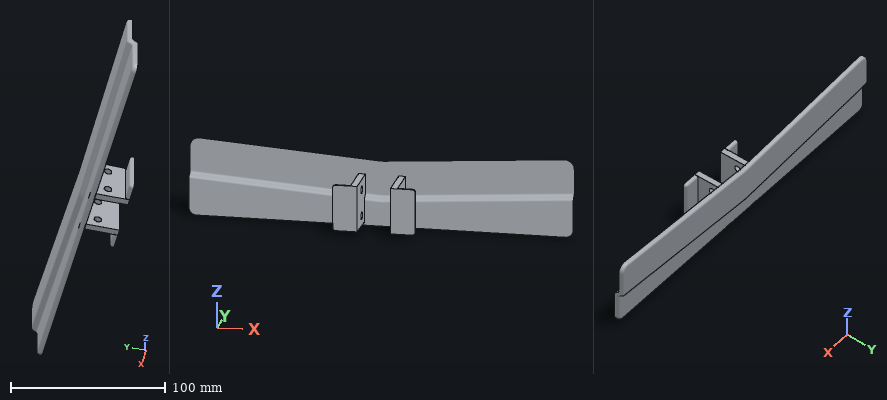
import cadquery as cq
import math

plate_length = 254.0
plate_height = 51.49
plate_thickness = 3.5
plate_offset = 3.5
vee_angle = 4.0
vee_radius = 27.0
top_corner_radius = 6.0
bottom_corner_radius = 5.0
edge_round = 2.0

step_angle = 60.0
bend_radius = 2.0
step_middle_z = 18.0
strip_half_height = 9.0
strip_overlap = 2.0

bracket_depth = 30.0
bracket_middle_z = 17.85
bracket_tip_height = 30.9
web_draft = 1.0
web_spacing = 22.0
web_thickness = 4.5
flange_width = 16.3
flange_thickness = 3.0
hole_diameter = 4.8
hole_spacing = 17.5
hole_distance = 15.3

half_length = plate_length / 2
vee_slope = math.tan(math.radians(vee_angle))
vee_tangent_x = vee_radius * math.sin(math.radians(vee_angle))
vee_tangent_z = vee_tangent_x * vee_slope
vee_lowest_z = vee_tangent_z - vee_radius * (1 - math.cos(math.radians(vee_angle)))
crown_x = half_length - top_corner_radius
crown_center_z = plate_height - top_corner_radius
sharp_crown_z = crown_center_z + top_corner_radius / math.cos(math.radians(vee_angle))
top_edge_z = sharp_crown_z - crown_x * vee_slope

upper_front_y = -plate_thickness
lower_back_y = -plate_offset
lower_front_y = lower_back_y - plate_thickness
step_rise = plate_offset / math.tan(math.radians(step_angle))
back_drop = plate_thickness * math.tan(math.radians(step_angle / 2))
overrun = 5.0
reach = half_length + overrun
tolerance = 1e-3


def draw_vee(workplane, height):
    """Draw the rounded vee from left to right, past both ends of the plate."""
    end_z = height + reach * vee_slope
    tangent_z = height + vee_tangent_z
    return (
        workplane.moveTo(-reach, end_z)
        .lineTo(-vee_tangent_x, tangent_z)
        .threePointArc((0, height + vee_lowest_z), (vee_tangent_x, tangent_z))
        .lineTo(reach, end_z)
    )


def vee_slab(vee_height, far_z, front_y, back_y):
    """Flat slab between the vee at one height and a straight edge at another."""
    outline = draw_vee(cq.Workplane("XZ", origin=(0, back_y, 0)), vee_height)
    return outline.lineTo(reach, far_z).lineTo(-reach, far_z).close().extrude(back_y - front_y)


def outline_block():
    """Block with the plate's outline, deep enough to trim both plates."""
    ends = cq.Workplane("XY").box(plate_length, 2 * bracket_depth, 4 * plate_height)
    block = vee_slab(top_edge_z, 0, lower_front_y, 0).intersect(ends)
    block = block.edges("|Y and <Z").fillet(bottom_corner_radius)
    return block.edges("|Y and >Z").fillet(top_corner_radius)


def step_strip():
    """S-shaped strip swept along the vee; it joins the two plates."""
    plane = cq.Plane(
        origin=(-reach, 0, step_middle_z + reach * vee_slope),
        xDir=(0, 1, 0),
        normal=(1, 0, -vee_slope),
    )
    corners = [
        (0, strip_half_height),
        (upper_front_y, strip_half_height),
        (upper_front_y, step_rise / 2),
        (lower_front_y, -step_rise / 2),
        (lower_front_y, -strip_half_height),
        (lower_back_y, -strip_half_height),
        (lower_back_y, -step_rise / 2 - back_drop),
        (0, step_rise / 2 - back_drop),
    ]
    section = cq.Wire.makePolygon([plane.toWorldCoords(corner) for corner in corners], close=True)
    bends = [
        vertex for vertex in section.Vertices()
        if abs(plane.toLocalCoords(vertex.Center()).y) < strip_half_height - tolerance
    ]
    section = section.fillet2D(bend_radius, bends)
    path = draw_vee(cq.Workplane("XZ"), step_middle_z)
    return cq.Workplane(plane).add(section).toPending().sweep(path)


def is_back_rim(edge):
    """True for an edge where the back of the stepped sheet meets its outline."""
    box = edge.BoundingBox()
    middle = edge.positionAt(0.5)
    step_back_z = step_middle_z - back_drop + abs(middle.x) * vee_slope
    on_upper_back = box.ymin > -tolerance
    on_lower_back = abs(box.ymin - lower_back_y) + abs(box.ymax - lower_back_y) < tolerance
    on_end = box.xlen < tolerance and abs(middle.x) > half_length - tolerance
    if on_upper_back and middle.z > step_back_z + strip_half_height:
        return True
    if on_lower_back and middle.z < step_back_z - strip_half_height:
        return True
    crosses_step_back = box.ymin > lower_back_y - tolerance and box.zmax < step_back_z + strip_half_height
    return on_end and crosses_step_back


def stepped_sheet():
    """Upper and lower plates joined by the step, trimmed and rounded along the back rim."""
    seam = strip_half_height - strip_overlap
    upper_plate = vee_slab(step_middle_z + seam, plate_height + 2 * overrun, upper_front_y, 0)
    lower_plate = vee_slab(step_middle_z - seam, -overrun, lower_front_y, lower_back_y)
    sheet = step_strip().union(upper_plate).union(lower_plate).intersect(outline_block())
    rim = [edge for edge in sheet.edges().vals() if is_back_rim(edge)]
    return sheet.newObject(rim).fillet(edge_round)


def right_bracket():
    """Drafted web with two cross holes and an outward flange at its front end."""
    inner_x = web_spacing / 2
    tip_y = -bracket_depth
    web_length = upper_front_y - tip_y
    tip_half = bracket_tip_height / 2
    root_half = tip_half + web_length * math.tan(math.radians(web_draft))
    side = cq.Workplane("YZ", origin=(inner_x, 0, bracket_middle_z))
    web = (
        side.moveTo(upper_front_y, root_half)
        .lineTo(upper_front_y, -root_half)
        .lineTo(tip_y, -tip_half)
        .lineTo(tip_y, tip_half)
        .close()
        .extrude(web_thickness)
    )
    flange = (
        cq.Workplane("XY", origin=(inner_x, tip_y, bracket_middle_z))
        .box(flange_width, flange_thickness, bracket_tip_height, centered=(False, False, True))
        .edges("(|Y and >X) or (>Y and (not <X))")
        .fillet(edge_round)
    )
    holes = (
        side.center(-hole_distance, 0)
        .rarray(1, hole_spacing, 1, 2)
        .circle(hole_diameter / 2)
        .extrude(web_thickness)
    )
    return web.union(flange).cut(holes)


bracket = right_bracket()
result = stepped_sheet().union(bracket).union(bracket.mirror("YZ"))